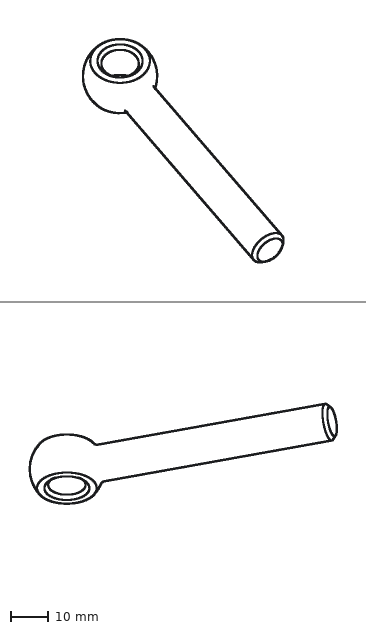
import cadquery as cq
import math

total_length = 84.9
ball_diameter = 20.0
eye_width = 12.0
bore_diameter = 10.0
shank_diameter = 10.0
bore_chamfer = 1.0
tip_chamfer = 1.0
neck_fillet = 2.0

ball_radius = ball_diameter / 2
shank_radius = shank_diameter / 2
shank_end = total_length - ball_radius


def make_ball():
    return cq.Workplane("XY").sphere(ball_radius)


def make_shank():
    """Round shank with a concave neck tangent to both the ball and the shank."""
    fillet_centre_r = shank_radius + neck_fillet
    centre_distance = ball_radius + neck_fillet
    fillet_centre_x = math.sqrt(centre_distance**2 - fillet_centre_r**2)
    contact_x = fillet_centre_x * ball_radius / centre_distance
    contact_r = fillet_centre_r * ball_radius / centre_distance
    start_angle = math.atan2(-fillet_centre_r, -fillet_centre_x)
    middle_angle = (start_angle - math.pi / 2) / 2
    middle_x = fillet_centre_x + neck_fillet * math.cos(middle_angle)
    middle_r = fillet_centre_r + neck_fillet * math.sin(middle_angle)
    return (
        cq.Workplane("XY")
        .lineTo(contact_x, contact_r)
        .threePointArc((middle_x, middle_r), (fillet_centre_x, shank_radius))
        .lineTo(shank_end - tip_chamfer, shank_radius)
        .lineTo(shank_end, shank_radius - tip_chamfer)
        .lineTo(shank_end, 0)
        .close()
        .revolve(360, (0, 0, 0), (1, 0, 0))
    )


def make_bore():
    """Through bore with a chamfered mouth at each flat face."""
    half_width = eye_width / 2
    bore_radius = bore_diameter / 2
    mouth_radius = bore_radius + bore_chamfer
    return (
        cq.Workplane("XZ")
        .moveTo(0, -half_width)
        .lineTo(mouth_radius, -half_width)
        .lineTo(bore_radius, -half_width + bore_chamfer)
        .lineTo(bore_radius, half_width - bore_chamfer)
        .lineTo(mouth_radius, half_width)
        .lineTo(0, half_width)
        .close()
        .revolve(360, (0, 0, 0), (0, 1, 0))
    )


eye_slab = cq.Workplane("XY").box(2 * total_length, ball_diameter, eye_width)

result = make_ball().union(make_shank()).intersect(eye_slab).cut(make_bore())